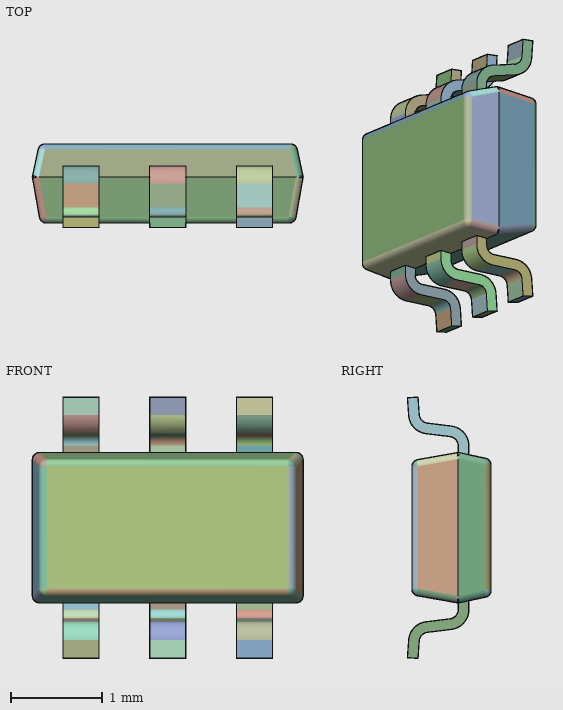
import cadquery as cq
import math

BODY_LENGTH = 2.97
BODY_HEIGHT = 1.65
FRONT_DEPTH = 0.508
BACK_DEPTH = 0.362
FRONT_TAPER = 10.0
BACK_TAPER = 12.0
EDGE_RADIUS = 0.08

LEADS_PER_SIDE = 3
LEAD_PITCH = 0.95
LEAD_WIDTH = 0.398
LEAD_THICKNESS = 0.12
INNER_BEND_RADIUS = 0.1
OUTER_BEND_RADIUS = INNER_BEND_RADIUS + LEAD_THICKNESS
NECK_LENGTH = 0.07
SLOPE_LENGTH = 0.265
FOOT_LENGTH = 0.193
SLOPE_ANGLE = 7.0
FOOT_ANGLE = 4.0


def make_body():
    """Rounded shell whose only sharp edges are those along the parting plane."""
    front = cq.Workplane("XZ").rect(BODY_LENGTH, BODY_HEIGHT).extrude(FRONT_DEPTH, taper=FRONT_TAPER)
    back = cq.Workplane("ZX").rect(BODY_HEIGHT, BODY_LENGTH).extrude(BACK_DEPTH, taper=BACK_TAPER)
    shell = front.union(back)
    parting_edges = cq.selectors.BoxSelector(
        (-BODY_LENGTH, -EDGE_RADIUS, -BODY_HEIGHT),
        (BODY_LENGTH, EDGE_RADIUS, BODY_HEIGHT),
    )
    return shell.edges(cq.selectors.InverseSelector(parting_edges)).fillet(EDGE_RADIUS).solids()


def polar(center, radius, angle):
    """Point (Y, Z) at a radius from the centre, with the angle in degrees from +Y towards +Z."""
    return (
        center[0] + radius * math.cos(math.radians(angle)),
        center[1] + radius * math.sin(math.radians(angle)),
    )


def make_lead():
    """Upper middle lead, its root cut flush with the tapered back wall of the body."""
    root_z = BODY_HEIGHT / 2
    outer_root_z = root_z - LEAD_THICKNESS * math.tan(math.radians(BACK_TAPER))

    shoulder = (-INNER_BEND_RADIUS, root_z + NECK_LENGTH)
    shoulder_end = 90 - SLOPE_ANGLE
    shoulder_middle = shoulder_end / 2

    slope_start = polar(shoulder, INNER_BEND_RADIUS + OUTER_BEND_RADIUS, shoulder_end)
    ankle = polar(slope_start, SLOPE_LENGTH, 180 - SLOPE_ANGLE)
    ankle_start = shoulder_end - 180
    ankle_end = -180 + FOOT_ANGLE
    ankle_middle = (ankle_start + ankle_end) / 2
    foot_direction = 90 + FOOT_ANGLE

    inner_toe = polar(polar(ankle, INNER_BEND_RADIUS, ankle_end), FOOT_LENGTH, foot_direction)
    outer_toe = polar(polar(ankle, OUTER_BEND_RADIUS, ankle_end), FOOT_LENGTH, foot_direction)

    return (
        cq.Workplane("YZ", origin=(-LEAD_WIDTH / 2, 0, 0))
        .moveTo(0, root_z)
        .lineTo(0, shoulder[1])
        .threePointArc(
            polar(shoulder, INNER_BEND_RADIUS, shoulder_middle),
            polar(shoulder, INNER_BEND_RADIUS, shoulder_end),
        )
        .lineTo(*polar(ankle, OUTER_BEND_RADIUS, ankle_start))
        .threePointArc(
            polar(ankle, OUTER_BEND_RADIUS, ankle_middle),
            polar(ankle, OUTER_BEND_RADIUS, ankle_end),
        )
        .lineTo(*outer_toe)
        .lineTo(*inner_toe)
        .lineTo(*polar(ankle, INNER_BEND_RADIUS, ankle_end))
        .threePointArc(
            polar(ankle, INNER_BEND_RADIUS, ankle_middle),
            polar(ankle, INNER_BEND_RADIUS, ankle_start),
        )
        .lineTo(*polar(shoulder, OUTER_BEND_RADIUS, shoulder_end))
        .threePointArc(
            polar(shoulder, OUTER_BEND_RADIUS, shoulder_middle),
            polar(shoulder, OUTER_BEND_RADIUS, 0),
        )
        .lineTo(LEAD_THICKNESS, outer_root_z)
        .close()
        .extrude(LEAD_WIDTH)
    )


def make_leads():
    upper_lead = make_lead()
    lower_lead = upper_lead.mirror("XY")
    leads = []
    for index in range(LEADS_PER_SIDE):
        x = (index - (LEADS_PER_SIDE - 1) / 2) * LEAD_PITCH
        leads.append(upper_lead.translate((x, 0, 0)).val())
        leads.append(lower_lead.translate((x, 0, 0)).val())
    return leads


body = make_body()
leads = make_leads()

result = cq.Compound.makeCompound([body.val(), *leads])